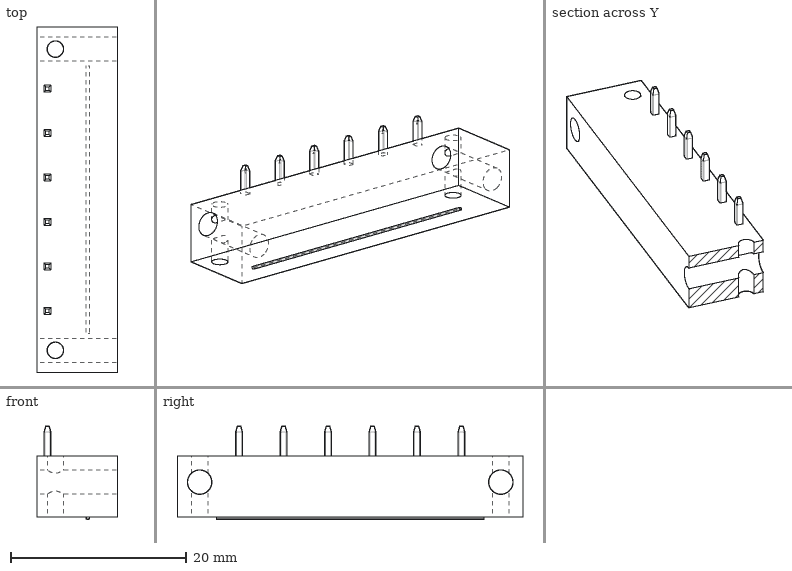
import cadquery as cq

BODY_X = 9.2
BODY_Y = 39.5
BODY_Z = 7.0
LEFT_FACE_X = -BODY_X / 2

PIN_COUNT = 6
PIN_PITCH = 5.08
PIN_WIDTH = 0.8
PIN_EDGE_RADIUS = 0.1
PIN_HEIGHT = 3.4
PIN_TIP_HEIGHT = 0.7
PIN_TIP_WIDTH = 0.4
PIN_X = LEFT_FACE_X + 1.2

MOUNT_SPACING = 34.4
SCREW_DIAMETER = 2.75
SCREW_DEPTH_BELOW_TOP = 3.0
VERTICAL_HOLE_DIAMETER = 1.85
VERTICAL_HOLE_X = LEFT_FACE_X + 2.1

RIB_WIDTH = 0.4
RIB_LENGTH = 30.6
RIB_HEIGHT = 0.25
RIB_EDGE_RADIUS = 0.15
RIB_X = LEFT_FACE_X + 5.8


def make_body():
    return cq.Workplane("XY").box(BODY_X, BODY_Y, BODY_Z, centered=(True, True, False))


def make_mount_holes(y):
    """Through hole along X and through hole along Z, crossing at one end of the block."""
    screw_z = BODY_Z - SCREW_DEPTH_BELOW_TOP
    screw_hole = (
        cq.Workplane("YZ", origin=(LEFT_FACE_X, y, screw_z))
        .circle(SCREW_DIAMETER / 2)
        .extrude(BODY_X)
    )
    vertical_hole = (
        cq.Workplane("XY", origin=(VERTICAL_HOLE_X, y, 0))
        .circle(VERTICAL_HOLE_DIAMETER / 2)
        .extrude(BODY_Z)
    )
    return screw_hole.union(vertical_hole)


def make_pin(y):
    """Square pin with a pyramidal tip, trimmed by a bar with rounded long edges."""
    shank_height = PIN_HEIGHT - PIN_TIP_HEIGHT
    rounded_bar = (
        cq.Workplane("XY", origin=(PIN_X, y, BODY_Z))
        .rect(PIN_WIDTH, PIN_WIDTH)
        .extrude(PIN_HEIGHT)
        .edges("|Z")
        .fillet(PIN_EDGE_RADIUS)
    )
    pointed_bar = (
        cq.Workplane("XY", origin=(PIN_X, y, BODY_Z))
        .rect(PIN_WIDTH, PIN_WIDTH)
        .extrude(shank_height)
        .faces(">Z")
        .workplane()
        .rect(PIN_WIDTH, PIN_WIDTH)
        .workplane(offset=PIN_TIP_HEIGHT)
        .rect(PIN_TIP_WIDTH, PIN_TIP_WIDTH)
        .loft(ruled=True)
    )
    return pointed_bar.intersect(rounded_bar)


def make_rib():
    return (
        cq.Workplane("XY", origin=(RIB_X, 0, 0))
        .rect(RIB_WIDTH, RIB_LENGTH)
        .extrude(-RIB_HEIGHT)
        .edges("|Y and <Z")
        .fillet(RIB_EDGE_RADIUS)
    )


result = make_body()

for side in (-1, 1):
    result = result.cut(make_mount_holes(side * MOUNT_SPACING / 2))

for index in range(PIN_COUNT):
    pin_y = (index - (PIN_COUNT - 1) / 2) * PIN_PITCH
    result = result.union(make_pin(pin_y))

result = result.union(make_rib())